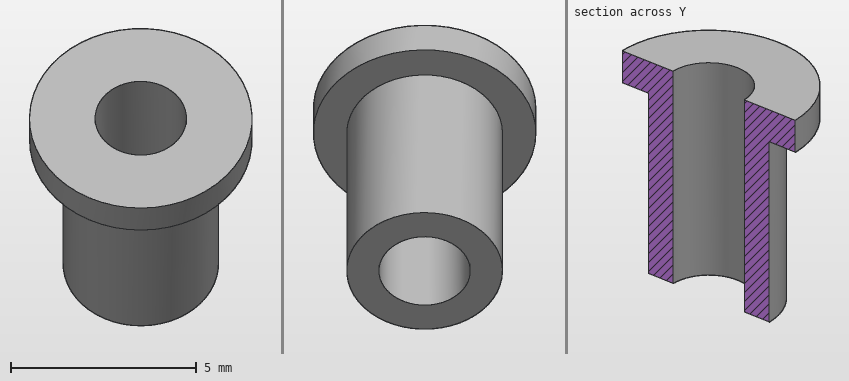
import cadquery as cq

total_height = 6.6
flange_diameter = 6.0
flange_thickness = 1.0
sleeve_diameter = 4.2
bore_diameter = 2.46

sleeve_length = total_height - flange_thickness

sleeve = cq.Workplane("XY").circle(sleeve_diameter / 2).extrude(sleeve_length)
flanged_sleeve = sleeve.faces(">Z").workplane().circle(flange_diameter / 2).extrude(flange_thickness)

result = flanged_sleeve.faces(">Z").workplane().hole(bore_diameter)